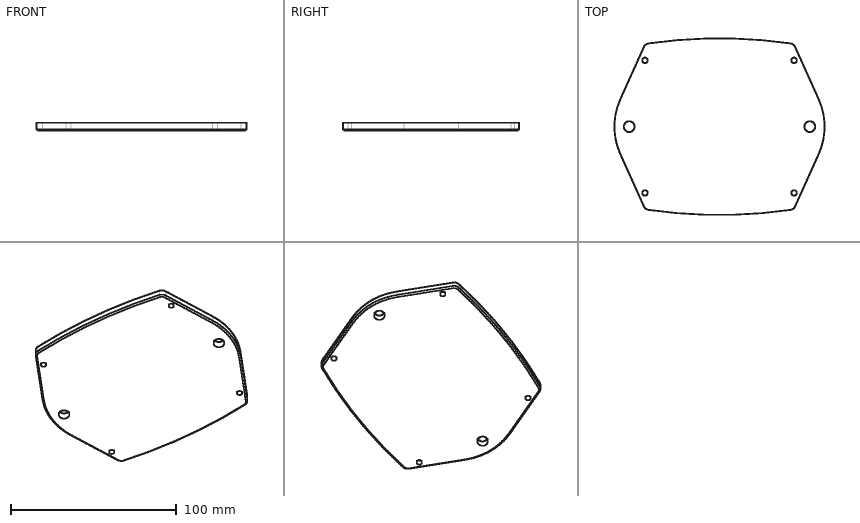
import cadquery as cq
import math

LENGTH = 127.0
WIDTH = 106.75
THICKNESS = 5.0

END_RADIUS = 40.0
FLANK_ANGLE = 24.25
SIDE_RADIUS = 300.0
CORNER_RADIUS = 4.0
BOTTOM_CHAMFER = 1.0

SMALL_HOLE_DIAMETER = 3.2
SMALL_HOLE_X = 45.0
SMALL_HOLE_Y = 40.0
LARGE_HOLE_DIAMETER = 6.4
LARGE_HOLE_X = 54.5


def sharp_corner(tangent_x, tangent_y):
    """Point in the +X +Y quadrant where the straight flank meets the bowed side."""
    lean = math.radians(FLANK_ANGLE)
    bow_center_y = WIDTH / 2 - SIDE_RADIUS
    rise = tangent_y - bow_center_y
    along = rise * math.cos(lean) - tangent_x * math.sin(lean)
    gap = SIDE_RADIUS**2 - tangent_x**2 - rise**2
    step = math.sqrt(along**2 + gap) - along
    return tangent_x - step * math.sin(lean), tangent_y + step * math.cos(lean)


def make_plate():
    """Plate with rounded noses, straight flanks and bowed sides, chamfered underneath."""
    lean = math.radians(FLANK_ANGLE)
    tangent_x = LENGTH / 2 - END_RADIUS * (1 - math.cos(lean))
    tangent_y = END_RADIUS * math.sin(lean)
    corner_x, corner_y = sharp_corner(tangent_x, tangent_y)
    plate = (
        cq.Workplane("XY")
        .moveTo(tangent_x, -tangent_y)
        .threePointArc((LENGTH / 2, 0), (tangent_x, tangent_y))
        .lineTo(corner_x, corner_y)
        .threePointArc((0, WIDTH / 2), (-corner_x, corner_y))
        .lineTo(-tangent_x, tangent_y)
        .threePointArc((-LENGTH / 2, 0), (-tangent_x, -tangent_y))
        .lineTo(-corner_x, -corner_y)
        .threePointArc((0, -WIDTH / 2), (corner_x, -corner_y))
        .close()
        .extrude(THICKNESS)
    )
    corners = [(sx * corner_x, sy * corner_y, THICKNESS / 2) for sx in (-1, 1) for sy in (-1, 1)]
    for corner in corners:
        plate = plate.edges(cq.selectors.NearestToPointSelector(corner)).fillet(CORNER_RADIUS)
    return plate.faces("<Z").edges().chamfer(BOTTOM_CHAMFER)


def cut_holes(plate):
    """Cut two large holes on the X axis and four small ones near the corners."""
    large_holes = [(side * LARGE_HOLE_X, 0) for side in (-1, 1)]
    small_holes = [(sx * SMALL_HOLE_X, sy * SMALL_HOLE_Y) for sx in (-1, 1) for sy in (-1, 1)]
    for diameter, centers in (
        (LARGE_HOLE_DIAMETER, large_holes),
        (SMALL_HOLE_DIAMETER, small_holes),
    ):
        cutters = cq.Workplane("XY").pushPoints(centers).circle(diameter / 2).extrude(THICKNESS)
        plate = plate.cut(cutters)
    return plate


result = cut_holes(make_plate())